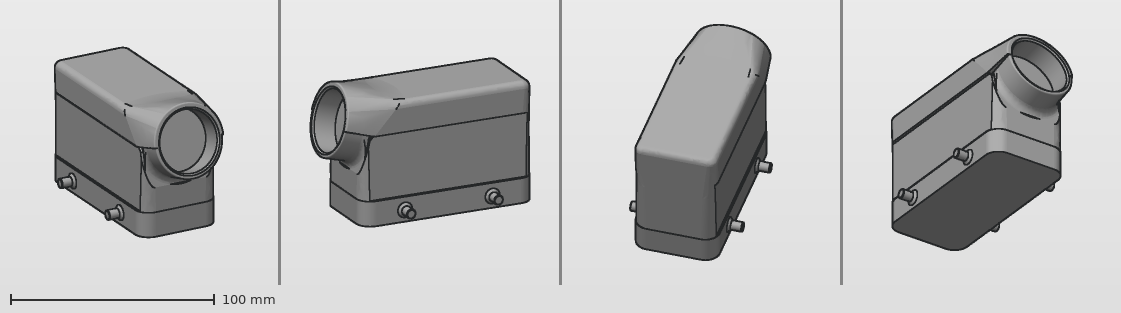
import cadquery as cq
import math

base_length = 93.5
base_width = 42.9
base_height = 13.0
base_corner = 7.5

hood_top = 62.5
hood_foot_step = 0.1
hood_end_draft = 0.9
hood_side_draft = 0.3
hood_waist_z = 38.9
hood_waist_inset = 0.4
hood_waist_corner = 6.6
hood_top_corner = 3.9
hood_top_fillet = 3.5

panel_bottom = 13.3
panel_ledge = 0.4
panel_half_width_bottom = 20.6
panel_half_width_top = 20.1

spout_tilt = 15
mouth_x = 101.9
mouth_z = 50.6
spout_upper_radius = 19.4
spout_lower_radius = 18.6
spout_lower_length = 23.4
side_arc_end = 30
top_arc_start = 54.5
mouth_edge_fillet = 0.7
bore_diameter = 32
bore_depth = 12.8
bore_chamfer = 1.0
neck_fillet = 3.7
hood_blend_radius = 48

miter_top_x = 71.9
miter_step_x = 86.8
shoulder_x = 89.0
shoulder_foot_z = 25.0

pin_positions = (22.9, 70.4)
pin_height = 6.2
pin_span = 57.2
pin_radius = 2.5
pin_chamfer = 0.3
pin_cone_radius = 3.9
pin_cone_length = 1.4

tilt = math.radians(spout_tilt)
spout_axis = cq.Vector(math.cos(tilt), 0, math.sin(tilt))
mouth_up = cq.Vector(-math.sin(tilt), 0, math.cos(tilt))
mouth_center = cq.Vector(mouth_x, 0, mouth_z)
mouth_plane = cq.Plane(origin=mouth_center, xDir=(0, 1, 0), normal=spout_axis)

middle_x = base_length / 2
panel_top = mouth_z - (mouth_x - miter_step_x) * math.tan(tilt)
miter_slope = (hood_top - panel_top) / (miter_top_x - miter_step_x)
shoulder_z = hood_top + (shoulder_x - miter_top_x) * miter_slope
hood_foot_length = base_length - 2 * hood_foot_step
hood_foot_half_width = base_width / 2 - hood_foot_step
shoulder_foot_x = base_length - hood_foot_step


def rounded_section(z, length, width, corner):
    """Rectangle with rounded corners, centred on the hood at height z."""
    sketch = cq.Sketch().rect(length, width).vertices().fillet(corner)
    return sketch.moved(cq.Location(cq.Vector(middle_x, 0, z)))


def hood_half_width(z):
    return hood_foot_half_width - hood_side_draft * (z - base_height) / (hood_top - base_height)


def hood_section(z, end_inset, corner):
    return rounded_section(z, hood_foot_length - 2 * end_inset, 2 * hood_half_width(z), corner)


def make_hood():
    foot = hood_section(base_height, 0, base_corner)
    waist = hood_section(hood_waist_z, hood_waist_inset, hood_waist_corner)
    top = hood_section(hood_top, hood_end_draft, hood_top_corner)
    lower = cq.Workplane("XY").placeSketch(foot, waist).loft(ruled=True)
    upper = cq.Workplane("XY").placeSketch(waist, top).loft(ruled=True)
    return lower.union(upper.faces(">Z").edges().fillet(hood_top_fillet))


def cut_spout_end(hood):
    """Remove the upper right corner of the hood along the slanted cut."""
    far_x = 2 * base_length
    high_z = 2 * hood_top
    corner = (
        cq.Workplane("XZ")
        .moveTo(miter_top_x + (high_z - hood_top) / miter_slope, high_z)
        .lineTo(shoulder_x, shoulder_z)
        .lineTo(shoulder_foot_x, shoulder_foot_z)
        .lineTo(far_x, shoulder_foot_z)
        .lineTo(far_x, high_z)
        .close()
        .extrude(base_width, both=True)
    )
    return hood.cut(corner)


def cut_panels(hood):
    outside = base_width
    for side in (1, -1):
        recess = (
            cq.Workplane("YZ")
            .polyline([
                (side * panel_half_width_bottom, panel_bottom),
                (side * panel_half_width_top, panel_top - panel_ledge),
                (side * hood_half_width(panel_top), panel_top),
                (side * outside, panel_top),
                (side * outside, panel_bottom),
            ])
            .close()
            .extrude(base_length)
        )
        hood = hood.cut(recess)
    return hood


def round_mouth(spout):
    """Round the outer rim of the mouth."""
    mouth_face = cq.selectors.DirectionMinMaxSelector(spout_axis)
    return spout.faces(mouth_face).edges("%CIRCLE").fillet(mouth_edge_fillet)


def mouth_point(degrees):
    """Point on the upper mouth rim; 0 is the +Y side and 90 the crown."""
    angle = math.radians(degrees)
    across = cq.Vector(0, spout_upper_radius * math.cos(angle), 0)
    return mouth_center + across + mouth_up * (spout_upper_radius * math.sin(angle))


def mouth_arc(start, end):
    middle = (start + end) / 2
    return cq.Edge.makeThreePointArc(mouth_point(start), mouth_point(middle), mouth_point(end))


def make_miter_outline(hood):
    """Outline of the uncut hood on the slanted cut, above the panels."""
    cut_plane = cq.Plane(
        origin=(miter_step_x, 0, panel_top),
        xDir=(0, 1, 0),
        normal=(hood_top - panel_top, 0, miter_step_x - miter_top_x),
    )
    sheet_size = 2 * base_width
    border = cq.Workplane(cut_plane).center(0, sheet_size / 2).rect(sheet_size, sheet_size)
    sheet = cq.Face.makeFromWires(border.val())
    return sheet.intersect(hood.val()).Faces()[0].outerWire()


def make_spout_upper(hood):
    """Ruled skin from the hood's outline on the slanted cut to the upper half of the mouth."""
    stops = (0, side_arc_end, top_arc_start, 180 - top_arc_start, 180 - side_arc_end, 180)
    mouth_edges = [mouth_arc(start, end) for start, end in zip(stops, stops[1:])]
    mouth_edges.append(cq.Edge.makeLine(mouth_point(180), mouth_point(0)))
    mouth_outline = cq.Wire.assembleEdges(mouth_edges)
    spout = cq.Workplane(cq.Solid.makeLoft([make_miter_outline(hood), mouth_outline], True))
    return round_mouth(spout)


def make_spout_lower():
    """Half cylinder under the mouth, blended into the slanted face below the shoulder."""
    face_slope = (shoulder_foot_x - shoulder_x) / (shoulder_foot_z - shoulder_z)
    high_z = 2 * hood_top
    backing = (
        cq.Workplane("XZ")
        .polyline([
            (shoulder_x - shoulder_z * face_slope, 0),
            (shoulder_x + (high_z - shoulder_z) * face_slope, high_z),
            (0, high_z),
            (0, 0),
        ])
        .close()
        .extrude(base_width, both=True)
    )
    tube = cq.Workplane(mouth_plane).circle(spout_lower_radius).extrude(-spout_lower_length)
    blended = backing.union(tube).edges("%ELLIPSE").fillet(neck_fillet)
    outside = blended.cut(backing)
    lower_half = (
        cq.Workplane(mouth_plane)
        .center(0, -base_width / 2)
        .rect(2 * spout_lower_radius, base_width)
        .extrude(-base_length)
    )
    return round_mouth(tube.union(outside).intersect(lower_half))


def cut_bore(part):
    radius = bore_diameter / 2
    bore = cq.Workplane(mouth_plane).circle(radius).extrude(-bore_depth)
    flare = cq.Workplane(cq.Solid.makeCone(
        radius + bore_chamfer, radius, bore_chamfer, mouth_center, -spout_axis
    ))
    return part.cut(bore).cut(flare)


def make_pin(x, side):
    outward = cq.Vector(0, side, 0)
    center = cq.Vector(x, 0, pin_height)
    rim = base_width / 2
    cone = cq.Solid.makeCone(
        pin_cone_radius, pin_radius, pin_cone_length, center + outward * rim, outward
    )
    shaft = cq.Workplane(cq.Solid.makeCylinder(pin_radius, pin_span / 2, center, outward))
    tip = ">Y" if side > 0 else "<Y"
    return shaft.faces(tip).edges().chamfer(pin_chamfer).union(cq.Workplane(cone))


base = (
    cq.Workplane("XY")
    .placeSketch(rounded_section(0, base_length, base_width, base_corner))
    .extrude(base_height)
)

full_hood = make_hood()
hood = cut_panels(cut_spout_end(full_hood))
hood = hood.union(make_spout_upper(full_hood))
crease = cq.selectors.NearestToPointSelector((miter_top_x, 0, hood_top))
hood = hood.edges(crease).fillet(hood_blend_radius)

result = base.union(hood).union(make_spout_lower())
result = cut_bore(result)
for pin_x in pin_positions:
    for pin_side in (1, -1):
        result = result.union(make_pin(pin_x, pin_side))